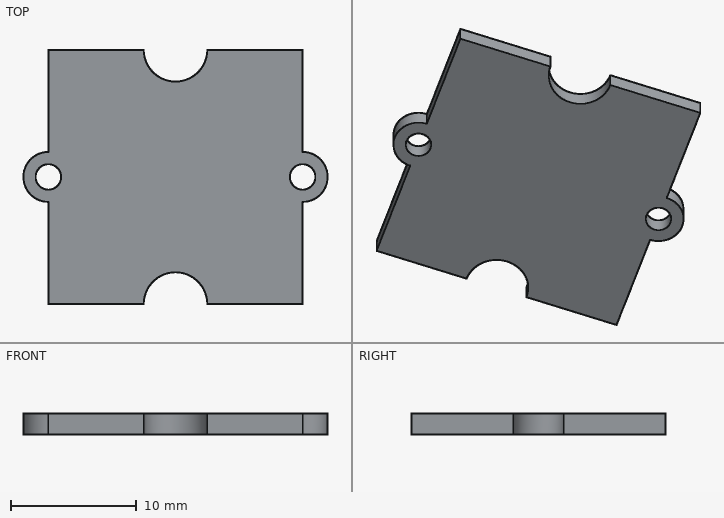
import cadquery as cq

overall_length = 24.2
plate_side = 20.2
thickness = 1.7

lug_radius = (overall_length - plate_side) / 2
hole_diameter = 2.0

notch_radius = 2.52

half_side = plate_side / 2
lug_centres = [(-half_side, 0), (half_side, 0)]
notch_centres = [(0, -half_side), (0, half_side)]


def discs(centres, radius):
    """Round discs of the plate thickness, standing on the XY plane."""
    return cq.Workplane("XY").pushPoints(centres).circle(radius).extrude(thickness)


plate = cq.Workplane("XY").rect(plate_side, plate_side).extrude(thickness)
plate = plate.union(discs(lug_centres, lug_radius))
plate = plate.cut(discs(lug_centres, hole_diameter / 2))
result = plate.cut(discs(notch_centres, notch_radius))